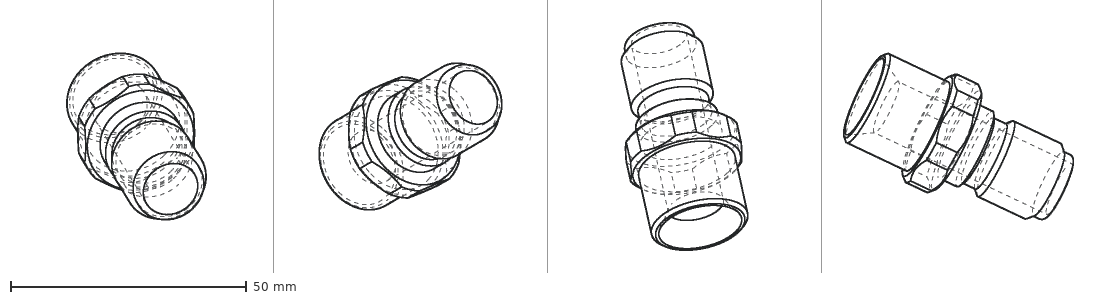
import cadquery as cq
import math

LENGTH = 46.5
NUT_START = 15.0
NUT_END = 22.05
COLLAR_END = 27.1
PLUG_START = 30.2
PLUG_END = 42.7

SHANK_DIAMETER = 20.95
PLUG_DIAMETER = 17.8
NECK_DIAMETER = 15.4
TIP_DIAMETER = 15.2
BORE_DIAMETER = 12.0
MOUTH_DIAMETER = 18.0

NUT_ACROSS_FLATS = 24.0
NUT_CORNER_DIAMETER = 25.5
NUT_CHAMFER = 1.0

SHANK_CHAMFER = 0.8
COLLAR_TAPER_ANGLE = 30.0
PLUG_EDGE_FILLET = 0.33
TIP_FILLET = 1.0
MOUTH_HALF_ANGLE = 30.0

NECK_STEP = (PLUG_DIAMETER - NECK_DIAMETER) / 2
COLLAR_TAPER_START = COLLAR_END - NECK_STEP * math.tan(math.radians(COLLAR_TAPER_ANGLE))
TIP_START = PLUG_END + (PLUG_DIAMETER - TIP_DIAMETER) / 2
MOUTH_DEPTH = (MOUTH_DIAMETER - BORE_DIAMETER) / 2 / math.tan(math.radians(MOUTH_HALF_ANGLE))


def cylinder(start, end, diameter):
    """Round bar along X between two stations."""
    return cq.Workplane("YZ", origin=(start, 0, 0)).circle(diameter / 2).extrude(end - start)


def cone(start, end, start_diameter, end_diameter):
    """Tapered bar along X between two stations."""
    profile = [
        (start, 0),
        (start, start_diameter / 2),
        (end, end_diameter / 2),
        (end, 0),
    ]
    return cq.Workplane("XY").polyline(profile).close().revolve(360, (0, 0, 0), (1, 0, 0))


def hex_nut():
    """Hexagon with flats facing +Y and -Y, its corners turned round and chamfered."""
    corner_distance = NUT_ACROSS_FLATS / math.sqrt(3) * 2
    hexagon = (
        cq.Workplane("YZ", origin=(NUT_START, 0, 0))
        .transformed(rotate=(0, 0, 90))
        .polygon(6, corner_distance)
        .extrude(NUT_END - NUT_START)
    )
    turned = cylinder(NUT_START, NUT_END, NUT_CORNER_DIAMETER).edges().chamfer(NUT_CHAMFER)
    return hexagon.intersect(turned)


shank = cylinder(0, NUT_START, SHANK_DIAMETER).faces("<X").chamfer(SHANK_CHAMFER)
collar = cylinder(NUT_END, COLLAR_TAPER_START, PLUG_DIAMETER)
collar_taper = cone(COLLAR_TAPER_START, COLLAR_END, PLUG_DIAMETER, NECK_DIAMETER)
neck = cylinder(COLLAR_END, PLUG_START, NECK_DIAMETER)

plug = (
    cylinder(PLUG_START, TIP_START, PLUG_DIAMETER)
    .faces("<X")
    .chamfer(NECK_STEP)
    .faces(">X")
    .chamfer(TIP_START - PLUG_END)
    .edges(cq.selectors.BoxSelector(
        (PLUG_END - PLUG_EDGE_FILLET, -PLUG_DIAMETER, -PLUG_DIAMETER),
        (PLUG_END + PLUG_EDGE_FILLET, PLUG_DIAMETER, PLUG_DIAMETER),
    ))
    .edges("%CIRCLE")
    .fillet(PLUG_EDGE_FILLET)
)
tip = cylinder(TIP_START, LENGTH, TIP_DIAMETER).faces(">X").edges().fillet(TIP_FILLET)

body = shank.union(hex_nut())
for section in (collar, collar_taper, neck, plug, tip):
    body = body.union(section)

bore = cylinder(0, LENGTH, BORE_DIAMETER)
mouth = cone(0, MOUTH_DEPTH, MOUTH_DIAMETER, BORE_DIAMETER)
result = body.cut(bore).cut(mouth)